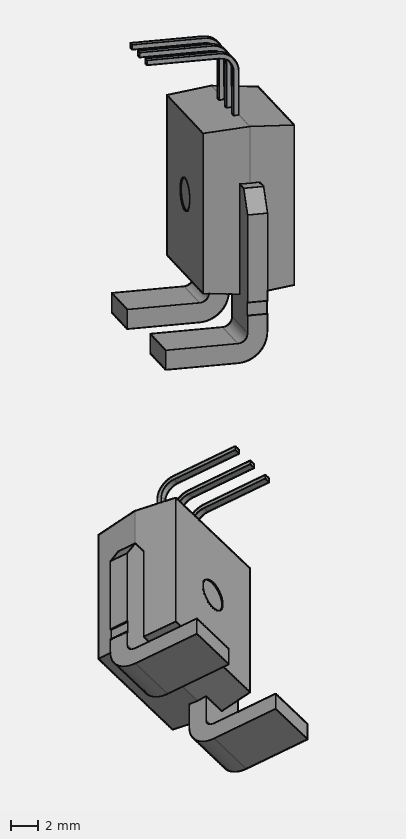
import cadquery as cq
import math

body_width = 10.0
body_height = 12.95
body_bottom = 4.54
half_depth = 3.49
draft_angle = 5
body_middle = body_bottom + body_height / 2

mark_diameter = 2.5
mark_depth = 0.1

tip_y = -7.01

lead_count = 3
lead_pitch = 1.9
lead_width = 0.51
lead_thickness = 0.38
lead_outer_radius = 1.5
lead_top = 22.35
lead_embed = 1.12

overall_width = 14.0
leg_gap = 5.9
leg_thickness = 1.52
leg_outer_radius = 2.25
leg_top = 13.11
leg_chamfer_width = 1.0
leg_chamfer_angle = 60
notch_depth = 0.1
notch_bottom = 3.6
notch_top = 4.6


def body_half(direction):
    """Half of the body, tapering away from the parting plane; direction is the sign of Y."""
    return (
        cq.Workplane("XZ", origin=(0, 0, body_middle))
        .rect(body_width, body_height)
        .extrude(-direction * half_depth, taper=draft_angle)
    )


def bent_strip(back_y, fixed_z, bend_z, thickness, outer_radius, x_start, width):
    """L-shaped strip running along Z from fixed_z, then bending to -Y with its outer face at bend_z."""
    toward_body = math.copysign(1, fixed_z - bend_z)
    inner_radius = outer_radius - thickness
    center_y = back_y - outer_radius
    center_z = bend_z + toward_body * outer_radius
    front_y = back_y - thickness
    inner_z = bend_z + toward_body * thickness
    diagonal = math.sqrt(0.5)

    def bend_middle(radius):
        return (center_y + radius * diagonal, center_z - toward_body * radius * diagonal)

    return (
        cq.Workplane("YZ", origin=(x_start, 0, 0))
        .moveTo(back_y, fixed_z)
        .lineTo(back_y, center_z)
        .threePointArc(bend_middle(outer_radius), (center_y, bend_z))
        .lineTo(tip_y, bend_z)
        .lineTo(tip_y, inner_z)
        .lineTo(center_y, inner_z)
        .threePointArc(bend_middle(inner_radius), (front_y, center_z))
        .lineTo(front_y, fixed_z)
        .close()
        .extrude(width)
    )


def signal_lead(center_x):
    """Thin lead leaving the body top just in front of the parting plane."""
    fixed_z = body_bottom + body_height - lead_embed
    x_start = center_x - lead_width / 2
    return bent_strip(0, fixed_z, lead_top, lead_thickness, lead_outer_radius, x_start, lead_width)


def right_leg():
    """Heavy leg on the +X side, with a sloped top corner and a shallow notch in its outer edge."""
    outer_x = overall_width / 2
    inner_x = leg_gap / 2
    leg = bent_strip(
        leg_thickness / 2, leg_top, 0, leg_thickness, leg_outer_radius, inner_x, outer_x - inner_x
    )
    chamfer_height = leg_chamfer_width * math.tan(math.radians(leg_chamfer_angle))
    corner = (
        cq.Workplane("XZ")
        .moveTo(outer_x, leg_top)
        .lineTo(outer_x - leg_chamfer_width, leg_top)
        .lineTo(outer_x, leg_top - chamfer_height)
        .close()
        .extrude(leg_thickness, both=True)
    )
    notch = cq.Workplane("XY").box(
        2 * notch_depth, 2 * leg_thickness, notch_top - notch_bottom
    ).translate((outer_x, 0, (notch_bottom + notch_top) / 2))
    return leg.cut(corner).cut(notch)


def ejector_mark():
    """Shallow disc of material removed from the front face."""
    return (
        cq.Workplane("XZ", origin=(0, -half_depth, body_middle))
        .circle(mark_diameter / 2)
        .extrude(-mark_depth)
    )


leg = right_leg()
result = body_half(1).union(body_half(-1)).union(leg).union(leg.mirror("YZ"))
for index in range(lead_count):
    result = result.union(signal_lead((index - (lead_count - 1) / 2) * lead_pitch))
result = result.cut(ejector_mark())